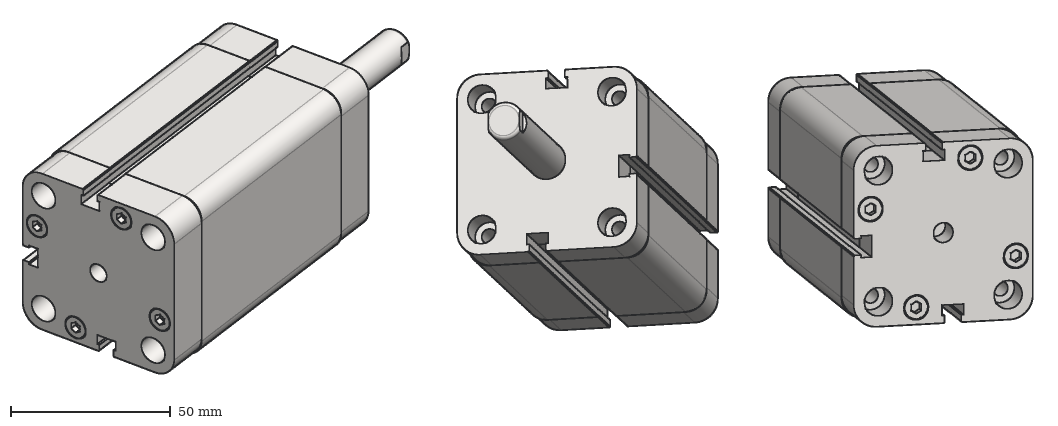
import cadquery as cq

tube_width = 58.2
cap_width = 58.0
total_length = 162.0
body_length = 105.8
cap_length = 14.9
tube_length = body_length - 2 * cap_length
cap_corner_radius = 7.5
tube_corner_radius = 6.8

rod_diameter = 12.0
rod_flat_width = 10.0
rod_flat_length = 4.5
rod_tip_radius = 1.1

slot_offset = 3.0
slot_neck_width = 5.3
slot_neck_depth = 2.5
slot_inner_width = 7.0
slot_depth = 5.8
slot_edge_chamfer = 0.3

mount_spacing = 42.0
mount_diameter = 4.9
mount_counterbore_diameter = 9.0
mount_counterbore_depth = 9.7

screw_edge_offset = 23.5
screw_side_offset = 8.7
screw_seat_diameter = 8.0
screw_head_diameter = 7.5
screw_gap_depth = 1.0
socket_corner_diameter = 3.9
socket_depth = 2.5

center_hole_diameter = 6.3
center_hole_depth = 9.7


def section_plane(y):
    """Plane across the axis at position y, with local x = X, local y = Z and normal -Y."""
    return cq.Workplane("XZ", origin=(0, y, 0))


def make_top_slot(width, y_start, length):
    """T-slot cutter for the +Z side of a bar of this width, with chamfered mouth edges."""
    neck = slot_neck_width / 2
    inner = slot_inner_width / 2
    mouth = neck + slot_edge_chamfer
    side_z = width / 2
    lip_z = side_z - slot_neck_depth
    floor_z = side_z - slot_depth
    right_side = [
        (mouth, side_z),
        (neck, side_z - slot_edge_chamfer),
        (neck, lip_z),
        (inner, lip_z),
        (inner, floor_z),
    ]
    left_side = [(-x, z) for x, z in reversed(right_side)]
    outline = [(x - slot_offset, z) for x, z in right_side + left_side]
    return section_plane(y_start).polyline(outline).close().extrude(-length)


def slotted_bar(y_start, length, width, corner_radius):
    """Square bar with rounded corners and three T-slots, reaching from y_start towards +Y."""
    bar = section_plane(y_start).rect(width, width).extrude(-length)
    bar = bar.edges("|Y").fillet(corner_radius)
    slot = make_top_slot(width, y_start, length)
    for angle in (0, -90, 180):
        bar = bar.cut(slot.rotate((0, 0, 0), (0, 1, 0), angle))
    return bar


def make_body():
    """Tube between two caps; the caps sit slightly inside the tube's outline."""
    front_cap = slotted_bar(0, cap_length, cap_width, cap_corner_radius)
    tube = slotted_bar(cap_length, tube_length, tube_width, tube_corner_radius)
    rear_cap = slotted_bar(cap_length + tube_length, cap_length, cap_width, cap_corner_radius)
    return front_cap.union(tube).union(rear_cap)


def make_rod():
    """Round rod with a rounded tip and two wrench flats facing -X and +X."""
    outer_x = rod_diameter / 2
    rod_length = total_length - body_length
    rod = section_plane(body_length).circle(outer_x).extrude(-rod_length)
    rod = rod.faces(">Y").edges().fillet(rod_tip_radius)
    flat_x = rod_flat_width / 2
    flat_start = total_length - rod_flat_length
    flat_cut = (
        cq.Workplane("XY", origin=(0, 0, -outer_x))
        .moveTo(flat_x, total_length)
        .lineTo(flat_x, flat_start)
        .lineTo(outer_x, flat_start - (outer_x - flat_x))
        .lineTo(outer_x, total_length)
        .close()
        .extrude(rod_diameter)
    )
    return rod.cut(flat_cut).cut(flat_cut.mirror("YZ"))


def cut_mount_holes(body):
    """Four through holes, counterbored from both ends."""
    holes = section_plane(0).rect(mount_spacing, mount_spacing, forConstruction=True).vertices()
    body = body.cut(holes.circle(mount_diameter / 2).extrude(-body_length))
    for seat_y in (0, body_length - mount_counterbore_depth):
        seats = section_plane(seat_y).rect(mount_spacing, mount_spacing, forConstruction=True).vertices()
        body = body.cut(seats.circle(mount_counterbore_diameter / 2).extrude(-mount_counterbore_depth))
    return body


def cut_screw_heads(body):
    """Flush screw heads: a thin ring gap around each head and a hexagon socket."""
    centers = [
        (screw_side_offset, screw_edge_offset),
        (screw_edge_offset, -screw_side_offset),
        (-screw_side_offset, -screw_edge_offset),
        (-screw_edge_offset, screw_side_offset),
    ]
    for x, z in centers:
        gap = section_plane(0).center(x, z).circle(screw_seat_diameter / 2).circle(screw_head_diameter / 2)
        gap = gap.extrude(-screw_gap_depth)
        socket = section_plane(0).center(x, z).transformed(rotate=(0, 0, 90))
        socket = socket.polygon(6, socket_corner_diameter).extrude(-socket_depth)
        body = body.cut(gap).cut(socket)
    return body


def cut_center_hole(body):
    hole = section_plane(0).circle(center_hole_diameter / 2).extrude(-center_hole_depth)
    return body.cut(hole)


body = cut_mount_holes(make_body())
body = cut_screw_heads(body)
body = cut_center_hole(body)
result = body.union(make_rod())